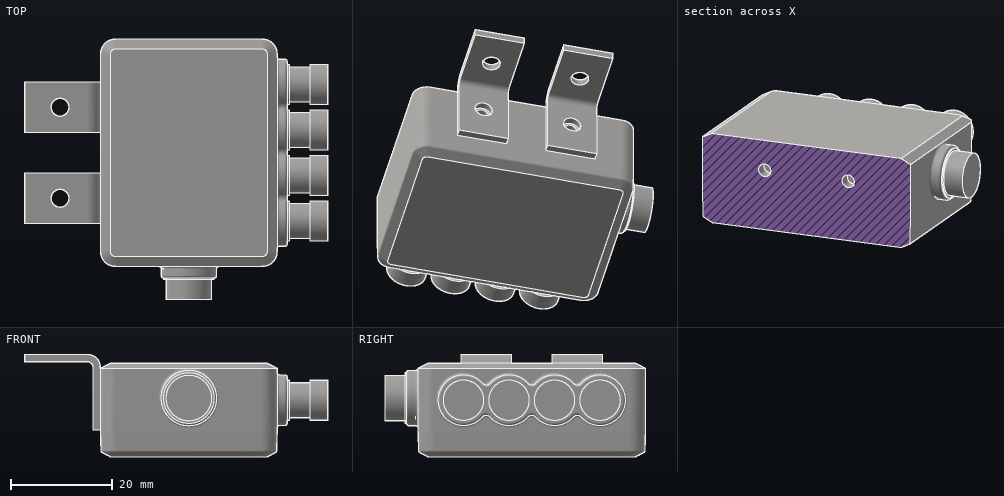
import cadquery as cq
import math


housing_length_x = 35.0
housing_length_y = 45.0
housing_height = 18.6
corner_radius = 3.0
seam_height = 5.05
bevel_width = 2.0
bevel_height = 1.0
draft_angle = 1.5
lower_blend_radius = 0.5

flange_blend = 0.5

connector_count = 4
connector_pitch = 9.0
connector_z = 11.3
flange_diameter = 10.0
flange_length = 2.0
flange_web_radius = 1.0
collar_diameter = 8.0
collar_length = 0.5
shaft_diameter = 6.95
knob_diameter = 8.0
knob_length = 3.6
connector_reach = 10.0

plug_z = 11.7
plug_flange_diameter = 11.0
plug_flange_length = 2.3
plug_collar_diameter = plug_flange_diameter - 2 * flange_blend
plug_collar_length = 0.25
plug_diameter = 9.0
plug_reach = 6.55

bracket_leg = 15.0
bracket_width = 10.0
bracket_thickness = 1.5
bracket_bend_radius = 2.5
bracket_spacing = 18.0
bracket_top_z = 20.35
bracket_hole_diameter = 3.5
bracket_hole_offset = 8.0
screw_hole_diameter = 2.5
screw_hole_depth = 5.0

wall_x = housing_length_x / 2
wall_y = housing_length_y / 2
bracket_ys = [-bracket_spacing / 2, bracket_spacing / 2]
bracket_hole_z = bracket_top_z - bracket_hole_offset

pick_margin = 0.05


def rounded_slab(z, height, inset=0.0, taper=0.0):
    """Housing outline, shrunk by inset, extruded from z by a signed height."""
    outline = cq.Sketch().rect(housing_length_x - 2 * inset, housing_length_y - 2 * inset)
    outline = outline.vertices().fillet(corner_radius - inset)
    return cq.Workplane("XY", origin=(0, 0, z)).placeSketch(outline).extrude(height, taper=taper)


def make_shell():
    """Straight upper part, drafted lower part, bevelled rims."""
    bevel_angle = math.degrees(math.atan2(bevel_width, bevel_height))
    bevel_base_z = housing_height - bevel_height
    drafted_height = seam_height - bevel_height
    draft_inset = drafted_height * math.tan(math.radians(draft_angle))

    upper = rounded_slab(seam_height, bevel_base_z - seam_height)
    upper_bevel = rounded_slab(bevel_base_z, bevel_height, taper=bevel_angle)
    lower = rounded_slab(seam_height, -drafted_height, taper=draft_angle)
    lower_bevel = rounded_slab(bevel_height, -bevel_height, inset=draft_inset, taper=bevel_angle)
    lower = lower.union(lower_bevel)

    rim = cq.selectors.BoxSelector(
        (-wall_x, -wall_y, bevel_height - pick_margin),
        (wall_x, wall_y, bevel_height + pick_margin),
    )
    lower = lower.edges(rim).fillet(lower_blend_radius)
    return upper.union(upper_bevel).union(lower)


def x_cylinder(y, diameter, start, end):
    """Cylinder along +X, with start and end measured from the +X wall."""
    plane = cq.Workplane("YZ", origin=(wall_x + start, y, connector_z))
    return plane.circle(diameter / 2).extrude(end - start)


def y_cylinder(diameter, start, end):
    """Cylinder along -Y, with start and end measured from the -Y wall."""
    plane = cq.Workplane("XZ", origin=(0, -wall_y - start, plug_z))
    return plane.circle(diameter / 2).extrude(end - start)


def add_connector_row(body):
    """Four connectors that share one scalloped flange."""
    row_start = -(connector_count - 1) * connector_pitch / 2
    connector_ys = [row_start + i * connector_pitch for i in range(connector_count)]

    flange = x_cylinder(connector_ys[0], flange_diameter, 0, flange_length)
    for y in connector_ys[1:]:
        flange = flange.union(x_cylinder(y, flange_diameter, 0, flange_length))
    notches = cq.selectors.BoxSelector(
        (wall_x, connector_ys[0], 0),
        (wall_x + flange_length, connector_ys[-1], housing_height),
    )
    flange = flange.edges("|X").edges(notches).fillet(flange_web_radius)
    flange = flange.faces(">X").edges().fillet(flange_blend)

    flange_radius = flange_diameter / 2
    foot = cq.selectors.BoxSelector(
        (wall_x - pick_margin, connector_ys[0] - flange_radius, connector_z - flange_radius),
        (wall_x + pick_margin, connector_ys[-1] + flange_radius, connector_z + flange_radius),
    )
    body = body.union(flange).edges(foot).fillet(flange_blend)

    collar_end = flange_length + collar_length
    knob_start = connector_reach - knob_length
    for y in connector_ys:
        body = body.union(x_cylinder(y, collar_diameter, flange_length, collar_end))
        body = body.union(x_cylinder(y, shaft_diameter, collar_end, knob_start))
        body = body.union(x_cylinder(y, knob_diameter, knob_start, connector_reach))
    return body


def add_plug(body):
    """Connector on the -Y wall: blended flange, thin collar and plain cylinder."""
    flange = y_cylinder(plug_flange_diameter, 0, plug_flange_length)
    flange = flange.faces("<Y").edges().fillet(flange_blend)

    flange_radius = plug_flange_diameter / 2
    foot = cq.selectors.BoxSelector(
        (-flange_radius, -wall_y - pick_margin, plug_z - flange_radius),
        (flange_radius, -wall_y + pick_margin, plug_z + flange_radius),
    )
    body = body.union(flange).edges(foot).fillet(flange_blend)

    collar_end = plug_flange_length + plug_collar_length
    body = body.union(y_cylinder(plug_collar_diameter, plug_flange_length, collar_end))
    return body.union(y_cylinder(plug_diameter, collar_end, plug_reach))


def cut_screw_holes(body):
    """Blind hole in the -X wall behind each bracket hole."""
    for y in bracket_ys:
        plane = cq.Workplane("YZ", origin=(-wall_x, y, bracket_hole_z))
        body = body.cut(plane.circle(screw_hole_diameter / 2).extrude(screw_hole_depth))
    return body


def make_bracket(y):
    """L-shaped bent strip with one hole in each leg, centred on y."""
    inner_radius = bracket_bend_radius - bracket_thickness
    side = cq.Workplane("XZ", origin=(-wall_x, y + bracket_width / 2, bracket_top_z))
    bracket = (
        side.moveTo(-bracket_leg, 0)
        .lineTo(-bracket_bend_radius, 0)
        .radiusArc((0, -bracket_bend_radius), bracket_bend_radius)
        .lineTo(0, -bracket_leg)
        .lineTo(-bracket_thickness, -bracket_leg)
        .lineTo(-bracket_thickness, -bracket_bend_radius)
        .radiusArc((-bracket_bend_radius, -bracket_thickness), -inner_radius)
        .lineTo(-bracket_leg, -bracket_thickness)
        .close()
        .extrude(bracket_width)
    )
    top_plane = cq.Workplane("XY", origin=(-wall_x - bracket_hole_offset, y, bracket_top_z))
    wall_plane = cq.Workplane("YZ", origin=(-wall_x, y, bracket_hole_z))
    for plane in (top_plane, wall_plane):
        bracket = bracket.cut(plane.circle(bracket_hole_diameter / 2).extrude(-bracket_thickness))
    return bracket


housing = cut_screw_holes(add_plug(add_connector_row(make_shell())))
brackets = [make_bracket(y) for y in bracket_ys]

result = cq.Compound.makeCompound([housing.val(), *[bracket.val() for bracket in brackets]])